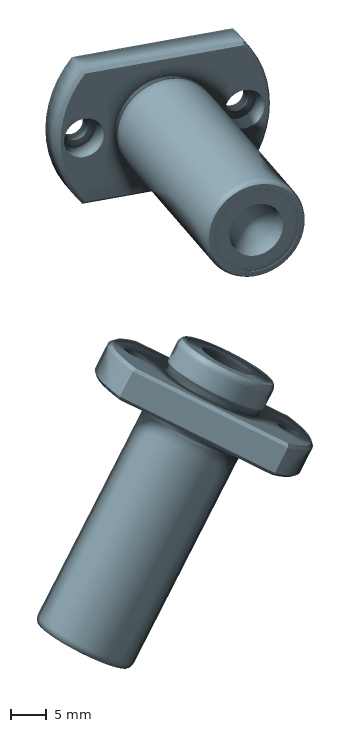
import cadquery as cq

length = 45.0
sleeve_diameter = 15.0
bore_diameter = 8.0

flange_diameter = 32.0
flange_height = 21.0
flange_start = 5.0
flange_thickness = 5.0
flange_chamfer = 0.5

hole_pitch = 24.0
hole_diameter = 3.5
counterbore_diameter = 6.0
counterbore_depth = 3.1

groove_radius = 1.1
groove_depth = 0.3
groove_offset = 0.5

end_rounding_length = 1.0
end_rounding_drop = 0.4
recess_diameter = 12.8
recess_depth = 0.1

sleeve_radius = sleeve_diameter / 2
flange_end = flange_start + flange_thickness


def x_cylinder(diameter, start, size, y=0):
    """Cylinder along +X, from X = start."""
    return cq.Workplane("YZ", origin=(start, y, 0)).circle(diameter / 2).extrude(size)


def make_sleeve():
    """Revolve the half section; each end arc runs tangent into the cylinder."""
    end_radius = sleeve_radius - end_rounding_drop
    rounding_radius = (end_rounding_length**2 + end_rounding_drop**2) / (2 * end_rounding_drop)
    half_section = (
        cq.Workplane("XY")
        .lineTo(0, end_radius)
        .radiusArc((end_rounding_length, sleeve_radius), rounding_radius)
        .lineTo(length - end_rounding_length, sleeve_radius)
        .radiusArc((length, end_radius), rounding_radius)
        .lineTo(length, 0)
        .close()
    )
    return half_section.revolve(360, (0, 0, 0), (1, 0, 0))


def make_groove(x):
    """Ring of round section that cuts a relief groove centred at x."""
    centre_height = sleeve_radius - groove_depth + groove_radius
    section = cq.Workplane("XY").center(x, centre_height).circle(groove_radius)
    return section.revolve(360, (0, -centre_height, 0), (1, -centre_height, 0))


def make_flange():
    disc = x_cylinder(flange_diameter, flange_start, flange_thickness)
    slab = cq.Workplane("XY").box(2 * length, flange_diameter, flange_height)
    return disc.intersect(slab).faces("<X or >X").chamfer(flange_chamfer)


sleeve = make_sleeve()
for groove_x in (flange_start - groove_offset, flange_end + groove_offset):
    sleeve = sleeve.cut(make_groove(groove_x))

result = sleeve.union(make_flange())

for recess_start in (0, length - recess_depth):
    result = result.cut(x_cylinder(recess_diameter, recess_start, recess_depth))
result = result.cut(x_cylinder(bore_diameter, 0, length))

counterbore_start = flange_end - counterbore_depth
for hole_y in (-hole_pitch / 2, hole_pitch / 2):
    result = result.cut(x_cylinder(hole_diameter, flange_start, flange_thickness, hole_y))
    result = result.cut(x_cylinder(counterbore_diameter, counterbore_start, counterbore_depth, hole_y))